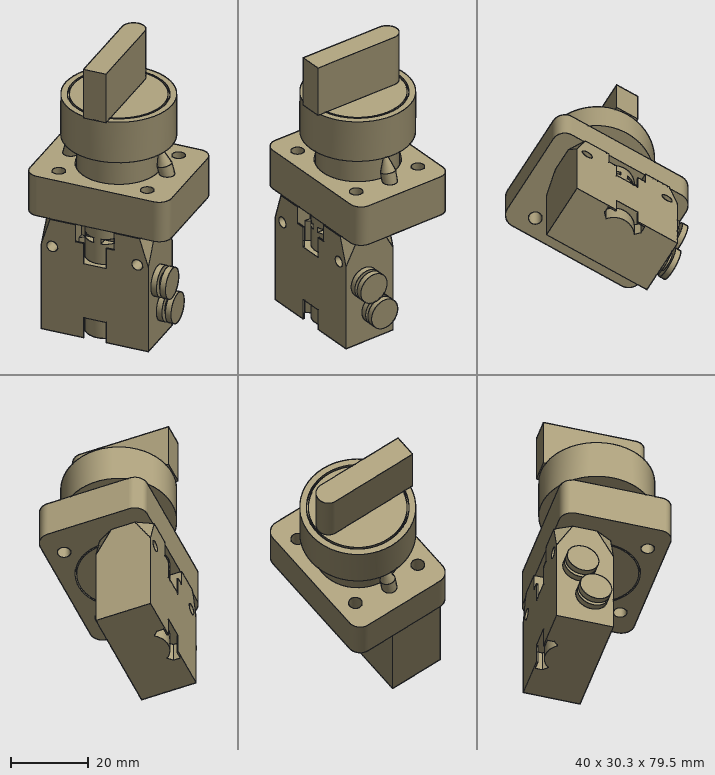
import cadquery as cq
import math

OVERALL_WIDTH = 30.3

PLATE_BOTTOM = 32.9
PLATE_TOP = 44.6
KNOB_BOTTOM = 53.1
KNOB_TOP = 65.1
HANDLE_TOP = 79.5

KNOB_DIAMETER = 30.0
NECK_DIAMETER = 21.7
GROOVE_OUTER_DIAMETER = 26.5
GROOVE_INNER_DIAMETER = 25.5
GROOVE_DEPTH = 0.8
GRIP_WIDTH = 6.35
GRIP_ROUND_DEPTH = 2.95
GRIP_BACK = 12.65

PLATE_LENGTH = 40.0
PLATE_WIDTH = KNOB_DIAMETER
PLATE_CORNER_RADIUS = 3.5
NECK_HOLE_DIAMETER = 22.5
PLATE_HOLE_DIAMETER = 3.5
PLATE_HOLE_X = 12.5
PLATE_HOLE_Y = 10.0
SCREW_DIAMETER = 4.0
SCREW_TIP_DIAMETER = 1.1
SCREW_TILT = 15.0
SCREW_X = 13.6
SCREW_SHANK = 2.7
SCREW_CONE = 4.1
SCREW_EMBEDDING = 2.4

BLOCK_WIDTH = 30.2
BLOCK_FRONT = -(OVERALL_WIDTH - PLATE_WIDTH / 2)
BLOCK_DEPTH = -BLOCK_FRONT
CORNER_CUT_X = 2.5
CORNER_CUT_Y = 4.4
CORNER_CUT_Z = 7.9
CROSS_HOLE_DIAMETER = 3.0
CROSS_HOLE_X = 12.0
CROSS_HOLE_Z = 25.05
TAPPED_HOLE_DIAMETER = 2.5

SKIN = 0.4
OPENING_WIDTH = 6.35
CHAMBER_WIDTH = 11.0
SHELF_Z = 27.9
SHELF_DEPTH = 4.0
UPPER_CHAMBER_BOTTOM = 21.95
LOWER_CHAMBER_TOP = 6.0
CHAMBER_SIDE_DEPTH = 2.3
POST_RADIUS = 5.3
POST_FRONT_DEPTH = 1.4
POST_NOTCH_INNER_X = 1.0
POST_NOTCH_OUTER_X = 4.1
POST_NOTCH_HEIGHT = 1.4

TERMINAL_DIAMETER = 8.5
TERMINAL_GROOVE_DIAMETER = 5.0
TERMINAL_STAGGER = 1.75
LOWER_TERMINAL_Z = 9.15
UPPER_TERMINAL_Z = 18.2
TERMINAL_FLANGE = 1.6
TERMINAL_GROOVE = 0.95


def cylinder(diameter, bottom, top):
    """Upright cylinder on the Z axis."""
    return cq.Workplane("XY").workplane(offset=bottom).circle(diameter / 2).extrude(top - bottom)


def box(x_min, x_max, y_min, y_max, z_min, z_max):
    """Box between two opposite corners."""
    size = (x_max - x_min, y_max - y_min, z_max - z_min)
    return cq.Workplane("XY").box(*size, centered=False).translate((x_min, y_min, z_min))


def make_grip():
    """Grip bar: flat in front and rounded at the back, ending just inside the groove."""
    half = GRIP_WIDTH / 2
    return (
        cq.Workplane("XY")
        .workplane(offset=KNOB_TOP)
        .moveTo(-half, BLOCK_FRONT)
        .lineTo(half, BLOCK_FRONT)
        .lineTo(half, GRIP_BACK - GRIP_ROUND_DEPTH)
        .threePointArc((0, GRIP_BACK), (-half, GRIP_BACK - GRIP_ROUND_DEPTH))
        .close()
        .extrude(HANDLE_TOP - KNOB_TOP)
    )


def make_head():
    """Selector head whose neck passes through the collar and rests on the contact block."""
    groove_bottom = KNOB_TOP - GROOVE_DEPTH
    groove = cylinder(GROOVE_OUTER_DIAMETER, groove_bottom, KNOB_TOP).cut(
        cylinder(GROOVE_INNER_DIAMETER, groove_bottom, KNOB_TOP)
    )
    knob = cylinder(KNOB_DIAMETER, KNOB_BOTTOM, KNOB_TOP).cut(groove)
    neck = cylinder(NECK_DIAMETER, PLATE_BOTTOM, KNOB_BOTTOM)
    return knob.union(neck).union(make_grip())


def make_clamping_screw(side):
    """Pointed screw rising from the plate and leaning towards the neck; side is -1 or 1."""
    shank_radius = SCREW_DIAMETER / 2
    tip_height = SCREW_SHANK + SCREW_CONE
    profile = [
        (0, -SCREW_EMBEDDING),
        (shank_radius, -SCREW_EMBEDDING),
        (shank_radius, SCREW_SHANK),
        (SCREW_TIP_DIAMETER / 2, tip_height),
        (0, tip_height),
    ]
    screw = cq.Workplane("XZ").polyline(profile).close().revolve(360, (0, 0, 0), (0, 1, 0))
    leaning = screw.rotate((0, 0, 0), (0, 1, 0), -side * SCREW_TILT)
    return leaning.translate((side * SCREW_X, 0, PLATE_TOP))


def make_collar():
    """Rounded plate with a neck hole, four mounting holes and two clamping screws."""
    holes = [(x, y) for x in (-PLATE_HOLE_X, PLATE_HOLE_X) for y in (-PLATE_HOLE_Y, PLATE_HOLE_Y)]
    collar = (
        cq.Workplane("XY")
        .workplane(offset=PLATE_BOTTOM)
        .rect(PLATE_LENGTH, PLATE_WIDTH)
        .extrude(PLATE_TOP - PLATE_BOTTOM)
        .edges("|Z")
        .fillet(PLATE_CORNER_RADIUS)
        .faces(">Z")
        .workplane(origin=(0, 0, PLATE_TOP))
        .hole(NECK_HOLE_DIAMETER)
        .pushPoints(holes)
        .hole(PLATE_HOLE_DIAMETER)
    )
    for side in (-1, 1):
        collar = collar.union(make_clamping_screw(side))
    return collar


def make_corner_cut(x, y):
    """Pyramid that slants one top corner of the block; (x, y) is that corner."""
    corner = cq.Vector(x, y, PLATE_BOTTOM)
    along_x = corner - cq.Vector(math.copysign(CORNER_CUT_X, x), 0, 0)
    inward_y = 1 if y == BLOCK_FRONT else -1
    along_y = corner + cq.Vector(0, inward_y * CORNER_CUT_Y, 0)
    along_z = corner - cq.Vector(0, 0, CORNER_CUT_Z)
    triangles = [
        (corner, along_x, along_y),
        (corner, along_y, along_z),
        (corner, along_z, along_x),
        (along_x, along_y, along_z),
    ]
    faces = [cq.Face.makeFromWires(cq.Wire.makePolygon(t, close=True)) for t in triangles]
    return cq.Solid.makeSolid(cq.Shell.makeShell(faces))


def make_post():
    """Round post left standing inside the front recesses."""
    post_y = BLOCK_FRONT + POST_FRONT_DEPTH + POST_RADIUS
    post = cylinder(2 * POST_RADIUS, 0, PLATE_BOTTOM).translate((0, post_y, 0))
    for x_min in (-POST_NOTCH_OUTER_X, POST_NOTCH_INNER_X):
        x_max = x_min + POST_NOTCH_OUTER_X - POST_NOTCH_INNER_X
        notch_back = BLOCK_FRONT + SHELF_DEPTH
        notch = box(x_min, x_max, BLOCK_FRONT, notch_back, SHELF_Z, SHELF_Z + POST_NOTCH_HEIGHT)
        post = post.cut(notch)
    return post


def make_chamber(bottom, top):
    """Narrow front opening that widens behind a thin skin and tapers at 45 degrees to the post."""
    half = CHAMBER_WIDTH / 2
    side_back = BLOCK_FRONT + CHAMBER_SIDE_DEPTH
    taper = half - OPENING_WIDTH / 2
    outline = [
        (-half, BLOCK_FRONT + SKIN),
        (half, BLOCK_FRONT + SKIN),
        (half, side_back),
        (half - taper, side_back + taper),
        (taper - half, side_back + taper),
        (-half, side_back),
    ]
    cavity = cq.Workplane("XY").workplane(offset=bottom).polyline(outline).close().extrude(top - bottom)
    opening = box(-OPENING_WIDTH / 2, OPENING_WIDTH / 2, BLOCK_FRONT, side_back, bottom, top)
    return cavity.union(opening)


def make_front_recesses():
    """Wide top recess, the chamber below it and the chamber at the foot of the block."""
    half = CHAMBER_WIDTH / 2
    wide = box(-half, half, BLOCK_FRONT, BLOCK_FRONT + SHELF_DEPTH, SHELF_Z, PLATE_BOTTOM)
    upper = make_chamber(UPPER_CHAMBER_BOTTOM, SHELF_Z)
    lower = make_chamber(0, LOWER_CHAMBER_TOP)
    return wide.union(upper).union(lower).cut(make_post())


def make_terminal(y, z):
    """Grooved round screw head standing on the +X side."""
    groove_start = TERMINAL_FLANGE
    groove_end = groove_start + TERMINAL_GROOVE
    length = groove_end + TERMINAL_FLANGE
    rim = TERMINAL_DIAMETER / 2
    core = TERMINAL_GROOVE_DIAMETER / 2
    profile = [
        (0, 0),
        (0, rim),
        (groove_start, rim),
        (groove_start, core),
        (groove_end, core),
        (groove_end, rim),
        (length, rim),
        (length, 0),
    ]
    terminal = cq.Workplane("XZ").polyline(profile).close().revolve(360, (0, 0, 0), (1, 0, 0))
    return terminal.translate((BLOCK_WIDTH / 2, y, z))


def make_contact_block():
    """Contact block with slanted corners, screw holes, front recesses and terminals."""
    half = BLOCK_WIDTH / 2
    block = box(-half, half, BLOCK_FRONT, 0, 0, PLATE_BOTTOM)
    for side in (-1, 1):
        for y in (BLOCK_FRONT, 0):
            block = block.cut(cq.Workplane(make_corner_cut(side * half, y)))
        cross_hole = cq.Workplane("XZ").circle(CROSS_HOLE_DIAMETER / 2).extrude(BLOCK_DEPTH)
        block = block.cut(cross_hole.translate((side * CROSS_HOLE_X, 0, CROSS_HOLE_Z)))
        tapped_hole = cylinder(TAPPED_HOLE_DIAMETER, CROSS_HOLE_Z, PLATE_BOTTOM)
        block = block.cut(tapped_hole.translate((side * PLATE_HOLE_X, -PLATE_HOLE_Y, 0)))
    block = block.cut(make_front_recesses())
    upper_terminal = make_terminal(BLOCK_FRONT / 2 - TERMINAL_STAGGER, UPPER_TERMINAL_Z)
    lower_terminal = make_terminal(BLOCK_FRONT / 2 + TERMINAL_STAGGER, LOWER_TERMINAL_Z)
    return block.union(upper_terminal).union(lower_terminal)


head = make_head()
collar = make_collar()
contact_block = make_contact_block()
result = cq.Compound.makeCompound([head.val(), collar.val(), contact_block.val()])